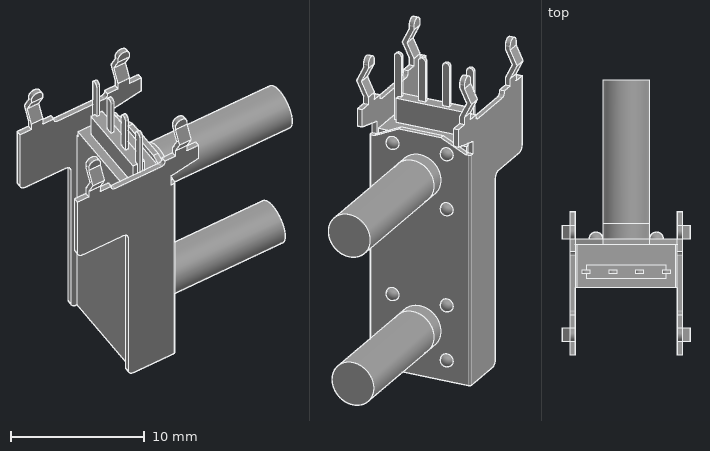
import cadquery as cq


SHEET = 0.4
FRAME_HALF_WIDTH = 4.22
INNER_HALF_WIDTH = FRAME_HALF_WIDTH - SHEET
BEND_RADIUS = 0.18
LEG_FRONT = -4.2
WING_FRONT = -8.7
WING_BACK = 2.03
WING_BOTTOM = 15.84
WING_TOP = 22.0
TAIL_BOTTOM = 20.55
NOTCH_BOTTOM = 19.0
NOTCH_TOP = 20.0
SCOOP_BOTTOM = 21.55
SCOOP_BACK = -0.95
SCOOP_FRONT = -5.7
PLATE_CORNER_RADIUS = 0.5
SCOOP_RADIUS = 0.3

BACK_PLATE_TOP = 19.98
BACK_PLATE_FLAT_WIDTH = 3.5

TOTAL_HEIGHT = 25.75
SNAP_WIDTH = 1.03
SNAP_POSITIONS_Y = (0.5, -7.18)
OVERALL_WIDTH = 9.6
SNAP_BULGE = OVERALL_WIDTH / 2 - FRAME_HALF_WIDTH
SNAP_KINK_CENTRE = 23.77
SNAP_KINK_HALF_HEIGHT = 1.18

HOUSING_FRONT = -3.65
HOUSING_TOP = 19.47
SHOULDER_HEIGHT = 18.95
NECK_HALF_WIDTH = 3.68
RIB_HALF_WIDTH = 2.95
RIB_THICKNESS = 1.0
RIB_TOP = 21.45

TERMINAL_COUNT = 4
TERMINAL_PITCH = 2.0
TERMINAL_WIDTH = 0.6
TERMINAL_THICKNESS = 0.25
TERMINAL_Y = -2.47
TERMINAL_TOP = 25.0

PLUNGER_DIAMETER = 3.5
LOWER_AXIS_Z = 4.02
AXIS_SPACING = 12.46
UPPER_AXIS_Z = LOWER_AXIS_Z + AXIS_SPACING
COLLAR_LENGTH = 1.15
UPPER_TIP = 11.9
LOWER_TIP = 11.28
RIVET_RADIUS = 0.52
RIVET_OFFSET = 2.27


def block(x_half, y_min, y_max, z_min, z_max):
    """Box centred on X = 0."""
    size_y = y_max - y_min
    box = cq.Workplane("XY").box(2 * x_half, size_y, z_max - z_min, centered=(True, False, False))
    return box.translate((0, y_min, z_min))


def round_tipped_strip(plane, width, bottom, top):
    """Closed upright outline, centred on its plane, with a full round at the top."""
    radius = width / 2
    return (
        plane.moveTo(-radius, bottom)
        .lineTo(radius, bottom)
        .lineTo(radius, top - radius)
        .threePointArc((0, top), (-radius, top - radius))
        .close()
    )


def side_plate():
    """Side plate at -X: a long leg with a wing at the top, drawn in YZ."""
    outline = [
        (0, 0),
        (LEG_FRONT, 0),
        (LEG_FRONT, WING_BOTTOM),
        (WING_FRONT, WING_BOTTOM),
        (WING_FRONT, WING_TOP),
        (SCOOP_FRONT, WING_TOP),
        (SCOOP_FRONT, SCOOP_BOTTOM),
        (SCOOP_BACK, SCOOP_BOTTOM),
        (SCOOP_BACK, WING_TOP),
        (WING_BACK, WING_TOP),
        (WING_BACK, TAIL_BOTTOM),
        (-SHEET, NOTCH_TOP),
        (-SHEET, NOTCH_BOTTOM),
        (0, NOTCH_BOTTOM),
    ]
    rounded_corners = [
        ((LEG_FRONT, 0), PLATE_CORNER_RADIUS),
        ((LEG_FRONT, WING_BOTTOM), PLATE_CORNER_RADIUS),
        ((WING_FRONT, WING_BOTTOM), PLATE_CORNER_RADIUS),
        ((SCOOP_FRONT, SCOOP_BOTTOM), SCOOP_RADIUS),
        ((SCOOP_BACK, SCOOP_BOTTOM), SCOOP_RADIUS),
    ]
    plate = cq.Workplane("YZ", origin=(-FRAME_HALF_WIDTH, 0, 0)).polyline(outline).close().extrude(SHEET)
    for (y, z), radius in rounded_corners:
        corner = cq.selectors.NearestToPointSelector((-FRAME_HALF_WIDTH + SHEET / 2, y, z))
        plate = plate.edges("|X").edges(corner).fillet(radius)
    bend = cq.selectors.NearestToPointSelector((-FRAME_HALF_WIDTH, 0, NOTCH_BOTTOM / 2))
    return plate.edges("|Z").edges(bend).fillet(BEND_RADIUS)


def snap_leg(y):
    """Kinked leg at -X with a round tip, rising from the side plate."""
    kink_bottom = SNAP_KINK_CENTRE - SNAP_KINK_HALF_HEIGHT
    kink_top = SNAP_KINK_CENTRE + SNAP_KINK_HALF_HEIGHT
    outer_edge = [
        (-FRAME_HALF_WIDTH, SCOOP_BOTTOM),
        (-FRAME_HALF_WIDTH, kink_bottom),
        (-FRAME_HALF_WIDTH - SNAP_BULGE, SNAP_KINK_CENTRE),
        (-FRAME_HALF_WIDTH, kink_top),
        (-FRAME_HALF_WIDTH, TOTAL_HEIGHT),
    ]
    inner_edge = [(x + SHEET, z) for x, z in reversed(outer_edge)]
    strip = cq.Workplane("XZ").polyline(outer_edge + inner_edge).close().extrude(SNAP_WIDTH / 2, both=True)
    plane = cq.Workplane("YZ", origin=(-FRAME_HALF_WIDTH - SNAP_BULGE, 0, 0))
    face_outline = round_tipped_strip(plane, SNAP_WIDTH, SCOOP_BOTTOM, TOTAL_HEIGHT)
    return strip.intersect(face_outline.extrude(FRAME_HALF_WIDTH + SNAP_BULGE)).translate((0, y, 0))


def frame_side():
    side = side_plate()
    for y in SNAP_POSITIONS_Y:
        side = side.union(snap_leg(y))
    return side


def back_plate():
    flat_half = BACK_PLATE_FLAT_WIDTH / 2
    outline = [
        (-INNER_HALF_WIDTH, 0),
        (INNER_HALF_WIDTH, 0),
        (INNER_HALF_WIDTH, NOTCH_BOTTOM),
        (flat_half, BACK_PLATE_TOP),
        (-flat_half, BACK_PLATE_TOP),
        (-INNER_HALF_WIDTH, NOTCH_BOTTOM),
    ]
    return cq.Workplane("XZ").polyline(outline).close().extrude(SHEET)


def housing_block():
    lower = block(INNER_HALF_WIDTH, HOUSING_FRONT, -SHEET, 0, SHOULDER_HEIGHT)
    neck = block(NECK_HALF_WIDTH, HOUSING_FRONT, -SHEET, SHOULDER_HEIGHT, HOUSING_TOP)
    rib_front = TERMINAL_Y - RIB_THICKNESS / 2
    rib = block(RIB_HALF_WIDTH, rib_front, rib_front + RIB_THICKNESS, HOUSING_TOP, RIB_TOP)
    return lower.union(neck).union(rib)


def terminal(x):
    """Flat pin with a round tip, standing on the housing."""
    plane = cq.Workplane("XZ", origin=(x, TERMINAL_Y, 0))
    outline = round_tipped_strip(plane, TERMINAL_WIDTH, HOUSING_TOP, TERMINAL_TOP)
    return outline.extrude(TERMINAL_THICKNESS / 2, both=True)


def cylinder_along_y(axis_z, y_start, y_end):
    base = cq.Workplane("XZ", origin=(0, y_start, axis_z)).circle(PLUNGER_DIAMETER / 2)
    return base.extrude(y_start - y_end)


def rivets(axis_z):
    """Four round rivet heads in a square around a plunger."""
    heads = cq.Workplane("XY")
    for side in (-1, 1):
        for level in (-1, 1):
            centre = (side * RIVET_OFFSET, 0, axis_z + level * RIVET_OFFSET)
            heads = heads.add(cq.Workplane("XY").sphere(RIVET_RADIUS).translate(centre))
    return heads.combine()


def switch_body():
    """Frame, housing, terminals, collars and rivets as one solid."""
    left_side = frame_side()
    body = back_plate().union(housing_block()).union(left_side).union(left_side.mirror("YZ"))
    for index in range(TERMINAL_COUNT):
        x = (index - (TERMINAL_COUNT - 1) / 2) * TERMINAL_PITCH
        body = body.union(terminal(x))
    for axis_z in (LOWER_AXIS_Z, UPPER_AXIS_Z):
        body = body.union(cylinder_along_y(axis_z, 0, COLLAR_LENGTH))
        body = body.union(rivets(axis_z))
    return body


def plunger(axis_z, tip_y):
    """Plain round plunger that starts on the end of its collar."""
    return cylinder_along_y(axis_z, COLLAR_LENGTH, tip_y)


body = switch_body()
plunger_places = [(LOWER_AXIS_Z, LOWER_TIP), (UPPER_AXIS_Z, UPPER_TIP)]
plungers = [plunger(axis_z, tip_y) for axis_z, tip_y in plunger_places]

result = cq.Compound.makeCompound([body.val(), *[item.val() for item in plungers]])